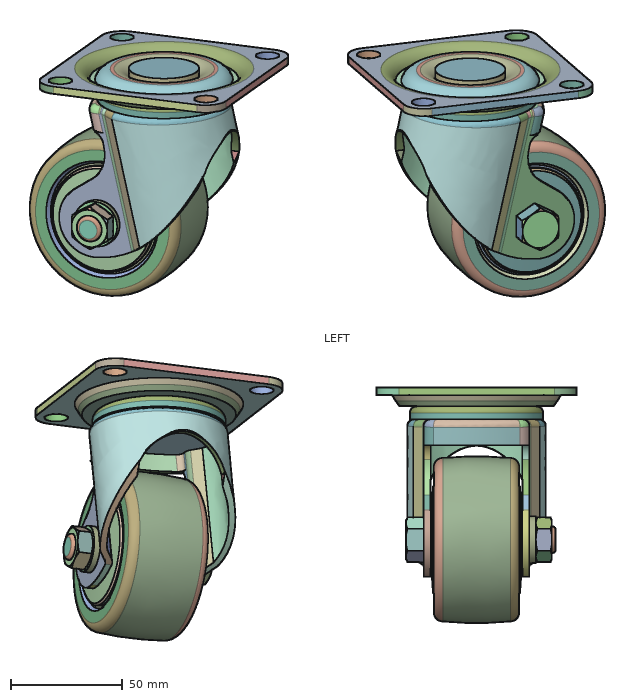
import cadquery as cq
import math


plate_size = 90.0
plate_thickness = 3.5
plate_corner_radius = 10.0
hole_spacing = 71.0
hole_diameter = 10.6

overall_height = 106.0
wheel_radius = 37.5
wheel_trail = 22.0
axle_radius = 6.0
axle_x = -wheel_trail
axle_z = wheel_radius - overall_height

kingpin_radius = 15.8
collar_radius = 30.0
collar_fillet = 3.0
collar_top = -8.5
fork_top = -14.4

sheet = 3.1
fork_inner_width = 41.3
fork_outer_width = fork_inner_width + 2 * sheet
fork_rake = math.tan(math.radians(13.0))
shell_radius = 31.2
shell_center_x = -1.4
shell_depth = 79.5
front_band_bottom = -26.1


def rake_x(x, z):
    """Shift a position at the fork top along the rake of the shell, down to height z."""
    return x + fork_rake * (fork_top - z)


def axle_cylinder(radius, y_start, y_end):
    """Cylinder on the axle between two Y positions."""
    return (
        cq.Workplane("XZ", origin=(axle_x, y_start, axle_z))
        .circle(radius)
        .extrude(y_start - y_end)
    )


dish_radius = 40.3
dish_floor_outer = 33.5
dish_floor_inner = 31.1
dish_floor = -5.1
crown_outer = 24.3
crown_inner = 22.6
crown_top = -0.2
trough_depth = -3.4
skirt_top_radius = 38.0
skirt_mid_radius = 36.5
skirt_bottom_radius = 34.7


def level_arc_middle(level_point, lower_point):
    """Middle point of the arc that leaves level_point level and drops to lower_point."""
    level_r, level_z = level_point
    lower_r, lower_z = lower_point
    run = lower_r - level_r
    drop = level_z - lower_z
    radius = (run ** 2 + drop ** 2) / (2 * drop)
    half_angle = math.asin(abs(run) / radius) / 2
    return (
        level_r + math.copysign(radius * math.sin(half_angle), run),
        level_z - radius * (1 - math.cos(half_angle)),
    )


def make_plate():
    slab = (
        cq.Workplane("XY")
        .rect(plate_size, plate_size)
        .extrude(-plate_thickness)
        .edges("|Z").fillet(plate_corner_radius)
        .faces(">Z").workplane()
        .rect(hole_spacing, hole_spacing, forConstruction=True)
        .vertices()
        .hole(hole_diameter)
        .cut(cq.Workplane("XY").circle(dish_radius).extrude(-plate_thickness))
    )
    trough_edge = (kingpin_radius, trough_depth)
    crown_inner_edge = (crown_inner, crown_top)
    crown_outer_edge = (crown_outer, crown_top)
    floor_inner_edge = (dish_floor_inner, dish_floor)
    floor_outer_edge = (dish_floor_outer, dish_floor)
    rim_edge = (dish_radius, 0)
    dish = (
        cq.Workplane("XZ")
        .moveTo(kingpin_radius, collar_top)
        .lineTo(*trough_edge)
        .threePointArc(level_arc_middle(crown_inner_edge, trough_edge), crown_inner_edge)
        .lineTo(*crown_outer_edge)
        .threePointArc(level_arc_middle(crown_outer_edge, floor_inner_edge), floor_inner_edge)
        .lineTo(*floor_outer_edge)
        .threePointArc(level_arc_middle(rim_edge, floor_outer_edge), rim_edge)
        .lineTo(dish_radius, -plate_thickness)
        .lineTo(skirt_top_radius, -plate_thickness)
        .lineTo(skirt_mid_radius, (collar_top - plate_thickness) / 2)
        .lineTo(skirt_bottom_radius, collar_top)
        .close()
        .revolve(360, (0, 0, 0), (0, 1, 0))
    )
    return slab.union(dish)


bend_x = -20.1
flare_x = -14.2
bend_radius = 2.6
band_corner_x = -27.0
band_front_x = -32.6
band_corner_radius = 6.9
fork_top_fillet = 2.9
fork_front_limit = -47.7
fork_bottom_limit = fork_top - shell_depth

notch_start = (-23.6, front_band_bottom)
notch_mid = (-20.8, -28.4)
neck_top = (-19.4, -32.3)
neck_mid = (-19.7, -41.3)
neck_bottom = (-24.9, -48.3)
lobe_top = (-34.6, -54.9)
lobe_mid = (-41.1, axle_z)
lobe_bottom = (-22.3, -85.0)
heel_mid = (-14.8, -83.8)
heel = (-5.5, -80.3)
back_mid = (21.6, -54.3)
back_top = (32.4, -24.9)

arch_crown = (0, -26.3)
arch_shoulder_y = 12.7
arch_shoulder_z = -31.3
arch_foot_y = fork_inner_width / 2
arch_foot_z = -41.9


def shell_section():
    """Closed shell outline at the fork top: a round rear, flat bends and a bowed front band."""
    half_width = fork_outer_width / 2
    flare_y = math.sqrt(shell_radius ** 2 - (flare_x - shell_center_x) ** 2)
    outline = (
        cq.Workplane("XY", origin=(0, 0, fork_top))
        .moveTo(band_corner_x, half_width)
        .lineTo(bend_x, half_width)
        .lineTo(flare_x, flare_y)
        .threePointArc((shell_center_x + shell_radius, 0), (flare_x, -flare_y))
        .lineTo(bend_x, -half_width)
        .lineTo(band_corner_x, -half_width)
        .threePointArc((band_front_x, 0), (band_corner_x, half_width))
        .close()
        .val()
    )
    for corner_x, radius in ((bend_x, bend_radius), (band_corner_x, band_corner_radius)):
        corners = [v for v in outline.Vertices() if math.isclose(v.X, corner_x, abs_tol=0.001)]
        outline = outline.fillet2D(radius, corners)
    return outline


def raked_extrusion(outline, drop):
    """Extrude a flat outline downward along the rake of the fork."""
    direction = cq.Vector(fork_rake * drop, 0, -drop)
    return cq.Workplane(cq.Solid.extrudeLinear(outline, [], direction))


def side_profile():
    """Outline of the fork in the XZ plane."""
    rear_limit = -fork_front_limit
    return (
        cq.Workplane("XZ")
        .moveTo(fork_front_limit, fork_top)
        .lineTo(fork_front_limit, front_band_bottom)
        .lineTo(*notch_start)
        .threePointArc(notch_mid, neck_top)
        .threePointArc(neck_mid, neck_bottom)
        .lineTo(*lobe_top)
        .threePointArc(lobe_mid, lobe_bottom)
        .threePointArc(heel_mid, heel)
        .threePointArc(back_mid, back_top)
        .lineTo(rear_limit, back_top[1])
        .lineTo(rear_limit, fork_top)
        .close()
    )


def side_block(width):
    """Block below the front band and ahead of the bend, with a raked rear face."""
    return (
        cq.Workplane("XZ")
        .polyline([
            (rake_x(bend_x, front_band_bottom), front_band_bottom),
            (fork_front_limit, front_band_bottom),
            (fork_front_limit, fork_bottom_limit),
            (rake_x(bend_x, fork_bottom_limit), fork_bottom_limit),
        ])
        .close()
        .extrude(width / 2, both=True)
    )


def rear_arch():
    """Cutter along X that opens the rear wall over the wheel."""
    arch_points = [
        (-arch_foot_y, arch_foot_z),
        (-arch_shoulder_y, arch_shoulder_z),
        arch_crown,
        (arch_shoulder_y, arch_shoulder_z),
        (arch_foot_y, arch_foot_z),
    ]
    return (
        cq.Workplane("YZ")
        .spline(arch_points)
        .lineTo(arch_foot_y, fork_bottom_limit)
        .lineTo(-arch_foot_y, fork_bottom_limit)
        .close()
        .extrude(-fork_front_limit)
    )


def make_fork():
    shell = raked_extrusion(shell_section(), shell_depth).faces(">Z").edges().fillet(fork_top_fillet)
    inner_section = shell_section().offset2D(-sheet)[0]
    cavity = raked_extrusion(inner_section, shell_depth).translate((fork_rake * sheet, 0, -sheet))
    fork = (
        shell.union(side_block(fork_outer_width))
        .cut(cavity)
        .cut(side_block(fork_inner_width))
        .cut(rear_arch())
        .intersect(side_profile().extrude(plate_size / 2, both=True))
    )
    collar = (
        cq.Workplane("XY", origin=(0, 0, fork_top))
        .circle(collar_radius)
        .extrude(collar_top - fork_top)
        .faces(">Z").edges().fillet(collar_fillet)
    )
    kingpin = cq.Workplane("XY", origin=(0, 0, fork_top)).circle(kingpin_radius).extrude(-fork_top)
    axle_hole = axle_cylinder(axle_radius, -fork_outer_width, fork_outer_width)
    return fork.union(collar).union(kingpin).cut(axle_hole)


tread_half_width = 15.3
tread_edge_radius = 36.8
tire_half_width = 19.2
tire_face_radius = 32.6
groove_outer_radius = 27.3
groove_floor_outer = 26.0
groove_floor_inner = 24.8
groove_inner_radius = 23.8
groove_depth = 1.9
hub_radius = 13.0
web_rim_half_width = 19.6
web_rim_drop = 1.0
web_boss_half_width = 20.4


def make_wheel():
    groove_floor = tire_half_width - groove_depth
    half_outline = [
        (tire_face_radius, tire_half_width),
        (groove_outer_radius, tire_half_width),
        (groove_floor_outer, groove_floor),
        (groove_floor_inner, groove_floor),
        (groove_floor_inner, web_rim_half_width - web_rim_drop),
        (groove_inner_radius, web_rim_half_width),
        (hub_radius, web_boss_half_width),
        (hub_radius, fork_inner_width / 2),
        (axle_radius, fork_inner_width / 2),
    ]
    mirrored = [(r, -y) for r, y in reversed(half_outline)]
    shoulder_blend = math.sqrt(0.5)
    shoulder_r = tire_face_radius + shoulder_blend * (tread_edge_radius - tire_face_radius)
    shoulder_y = tread_half_width + shoulder_blend * (tire_half_width - tread_half_width)
    profile = (
        cq.Workplane("XY")
        .moveTo(tread_edge_radius, -tread_half_width)
        .threePointArc((wheel_radius, 0), (tread_edge_radius, tread_half_width))
        .threePointArc((shoulder_r, shoulder_y), half_outline[0])
    )
    for point in half_outline[1:] + mirrored:
        profile = profile.lineTo(*point)
    return (
        profile.threePointArc((shoulder_r, -shoulder_y), (tread_edge_radius, -tread_half_width))
        .close()
        .revolve(360, (0, 0, 0), (0, 1, 0))
        .translate((axle_x, 0, axle_z))
    )


hex_across_flats = 17.4
hex_chamfer = 0.6
bolt_head_height = 8.0
bolt_end_y = -35.6
bolt_tip_round = 1.7
washer_radius = 10.5
washer_thickness = 3.0
nut_height = 7.2


def axle_hexagon(y_start, y_end, chamfered_ends):
    """Hexagon on the axle with corners up and down, its corners chamfered round at the given ends."""
    hexagon = (
        cq.Workplane("XZ", origin=(axle_x, y_start, axle_z))
        .polygon(6, hex_across_flats, circumscribed=True)
        .extrude(y_start - y_end)
    )
    corner_radius = hex_across_flats / math.sqrt(3)
    corner_cut = corner_radius - hex_across_flats / 2
    rounding = (
        axle_cylinder(corner_radius, y_start, y_end)
        .faces(chamfered_ends)
        .edges()
        .chamfer(hex_chamfer, corner_cut)
    )
    return hexagon.intersect(rounding)


def make_bolt():
    head_seat = fork_outer_width / 2
    head = axle_hexagon(head_seat + bolt_head_height, head_seat, ">Y")
    shank = axle_cylinder(axle_radius, head_seat, bolt_end_y).faces("<Y").edges().fillet(bolt_tip_round)
    return head.union(shank)


def make_nut():
    seat = -fork_outer_width / 2
    nut_seat = seat - washer_thickness
    washer = axle_cylinder(washer_radius, seat, nut_seat)
    nut = axle_hexagon(nut_seat, nut_seat - nut_height, "|Y")
    bore = axle_cylinder(axle_radius, seat, bolt_end_y)
    return washer.union(nut).cut(bore)


plate = make_plate()
fork = make_fork()
wheel = make_wheel()
bolt = make_bolt()
nut = make_nut()

result = cq.Compound.makeCompound([
    plate.solids().val(),
    fork.solids().val(),
    wheel.solids().val(),
    bolt.solids().val(),
    nut.solids().val(),
])